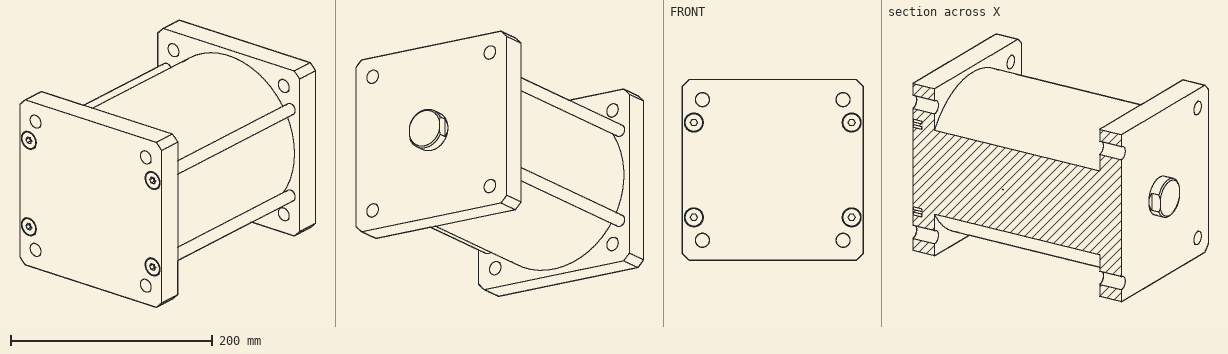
import cadquery as cq


total_length = 259.0
plate_thickness = 26.0
rod_projection = 12.2
front_face = 0.0
tube_start = front_face + plate_thickness
rear_plate_back = front_face + total_length - rod_projection
rear_plate_start = rear_plate_back - plate_thickness
tube_length = rear_plate_start - tube_start
rod_tip = rear_plate_back + rod_projection

plate_side = 180.0
corner_turning_diameter = 245.0
mount_hole_diameter = 13.7
mount_hole_pitch = 139.9

tube_diameter = 167.0
tie_rod_diameter = 12.0
tie_rod_x = 78.5
tie_rod_z = 47.1
tie_rod_points = [(x, z) for x in (-tie_rod_x, tie_rod_x) for z in (-tie_rod_z, tie_rod_z)]

head_bore_diameter = 19.0
head_diameter = 17.4
head_depth = 10.4
socket_across_corners = 7.3
socket_depth = 5.2

piston_rod_diameter = 40.0
wrench_flat_width = 35.5
rod_chamfer = 1.5


def section_at(y):
    """Workplane across the axis: local x is X, local y is Z, and a negative extrusion runs towards +Y."""
    return cq.Workplane("XZ", origin=(0, y, 0))


def end_plate(start):
    plate = section_at(start).rect(plate_side, plate_side).extrude(-plate_thickness)
    turned_corners = section_at(start).circle(corner_turning_diameter / 2).extrude(-plate_thickness)
    holes = (
        section_at(start)
        .rect(mount_hole_pitch, mount_hole_pitch, forConstruction=True)
        .vertices()
        .circle(mount_hole_diameter / 2)
        .extrude(-plate_thickness)
    )
    return plate.intersect(turned_corners).cut(holes)


def screw_head_cuts():
    """Ring gap around each screw head and its hexagon socket."""
    heads = section_at(front_face).pushPoints(tie_rod_points)
    gaps = heads.circle(head_bore_diameter / 2).circle(head_diameter / 2).extrude(-head_depth)
    sockets = heads.polygon(6, socket_across_corners).extrude(-socket_depth)
    return gaps.union(sockets)


def piston_rod_end():
    """Chamfered round end with a flat on each X side, running out at 45 degrees to the rear plate."""
    rod = section_at(rear_plate_back).circle(piston_rod_diameter / 2).extrude(-rod_projection)
    rod = rod.faces(">Y").chamfer(rod_chamfer)
    flat_x = wrench_flat_width / 2
    outer_x = piston_rod_diameter / 2
    flat_start = rear_plate_back + outer_x - flat_x
    for side in (-1, 1):
        flat_cut = (
            cq.Workplane("XY", origin=(0, 0, -piston_rod_diameter / 2))
            .moveTo(side * flat_x, rod_tip)
            .lineTo(side * flat_x, flat_start)
            .lineTo(side * outer_x, rear_plate_back)
            .lineTo(side * outer_x, rod_tip)
            .close()
            .extrude(piston_rod_diameter)
        )
        rod = rod.cut(flat_cut)
    return rod


tube = section_at(tube_start).circle(tube_diameter / 2).extrude(-tube_length)
tie_rods = section_at(tube_start).pushPoints(tie_rod_points).circle(tie_rod_diameter / 2).extrude(-tube_length)

result = (
    end_plate(front_face)
    .cut(screw_head_cuts())
    .union(tube)
    .union(tie_rods)
    .union(end_plate(rear_plate_start))
    .union(piston_rod_end())
)